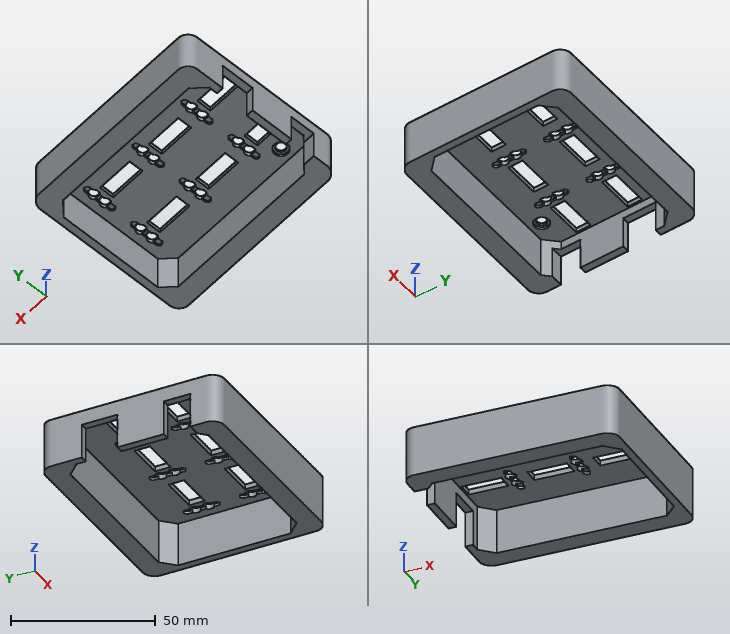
import cadquery as cq

length = 80.5
width = 70.0
height = 19.0
corner_radius = 4.7

top_thickness = 2.0
end_wall = 3.0
side_wall = 8.0
corner_post_leg = 5.0

column_count = 3
column_pitch = 24.95
row_count = 2
row_pitch = 22.0
first_window_x = -29.0
first_row_y = -12.0
window_length = 15.05
window_width = 6.0
hole_diameter = 4.0
hole_offset_x = 11.1
hole_pitch_y = 5.2

slot_width = 2.5
slot_length = 14.0
thinned_plate = 1.0

single_hole_x = -25.85
single_hole_y = -22.05
counterbore_diameter = 6.0

connector_spans = [(-24.2, -13.8), (4.4, 18.35)]
connector_height = 13.4

top_inner_z = height - top_thickness
recess_depth = top_thickness - thinned_plate


def make_body():
    """Solid block with rounded vertical edges."""
    block = cq.Workplane("XY").box(length, width, height, centered=(True, True, False))
    return block.edges("|Z").fillet(corner_radius)


def make_cavity():
    """Inner volume; its chamfered edges leave a triangular post in each corner."""
    inner_length = length - 2 * end_wall
    inner_width = width - 2 * side_wall
    block = cq.Workplane("XY").box(inner_length, inner_width, top_inner_z, centered=(True, True, False))
    return block.edges("|Z").chamfer(corner_post_leg)


def make_display_cutters():
    """Windows, indicator holes and underside slots of every display."""
    windows = []
    slots = []
    holes = []
    for row in range(row_count):
        y = first_row_y + row * row_pitch
        for column in range(column_count):
            x = first_window_x + column * column_pitch
            windows.append((x, y))
            slots.append((x + hole_offset_x, y))
            for side in (-1, 1):
                holes.append((x + hole_offset_x, y + side * hole_pitch_y / 2))
    plate_underside = cq.Workplane("XY").workplane(offset=top_inner_z)
    return [
        plate_underside.pushPoints(windows).rect(window_length, window_width).extrude(top_thickness),
        plate_underside.pushPoints(holes).circle(hole_diameter / 2).extrude(top_thickness),
        plate_underside.pushPoints(slots).slot2D(slot_length, slot_width, 90).extrude(recess_depth),
    ]


def make_single_hole_cutter():
    """Through hole with a wider counterbore on the underside."""
    centre = cq.Workplane("XY").workplane(offset=top_inner_z).center(single_hole_x, single_hole_y)
    hole = centre.circle(hole_diameter / 2).extrude(top_thickness)
    counterbore = centre.circle(counterbore_diameter / 2).extrude(recess_depth)
    return hole.union(counterbore)


def make_connector_cutter(low_y, high_y):
    """Opening through the left end wall and the post behind it, open at the bottom edge."""
    depth = end_wall + corner_post_leg
    opening = cq.Workplane("XY").box(depth, high_y - low_y, connector_height, centered=False)
    return opening.translate((-length / 2, low_y, 0))


result = make_body().cut(make_cavity())
for cutter in make_display_cutters():
    result = result.cut(cutter)
result = result.cut(make_single_hole_cutter())
for low_y, high_y in connector_spans:
    result = result.cut(make_connector_cutter(low_y, high_y))